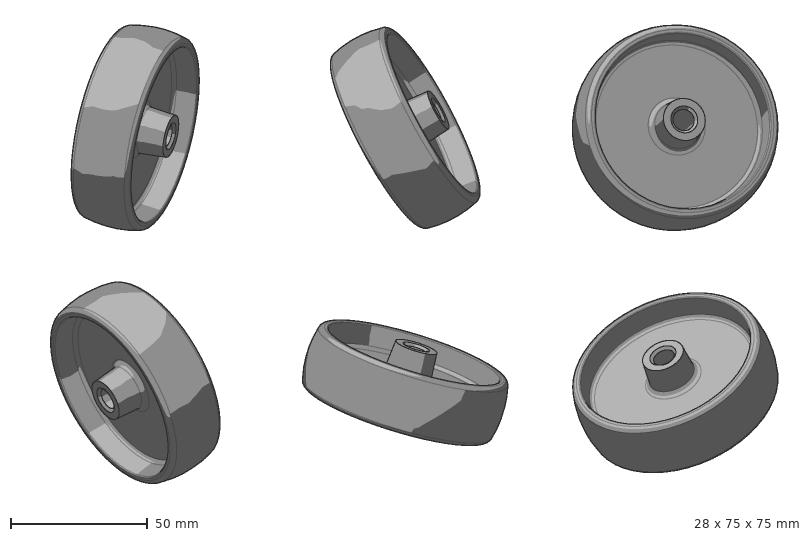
import cadquery as cq
import math

wheel_radius = 37.5
hub_length = 28.0
hub_half_length = hub_length / 2
rim_width = 22.95
rim_half_width = rim_width / 2
web_half_thickness = 2.25

crown_radius = 40.0
shoulder_radius = 2.0
rim_mouth_radius = 32.85
rim_root_radius = 31.8
rim_lip_fillet = 0.45
rim_root_fillet = 1.5

hub_end_radius = 7.9
hub_root_radius = 8.85
hub_root_fillet = 2.0

bore_radius = 4.0
bore_chamfer = 1.05

crown_center = wheel_radius - crown_radius
shoulder_center_x = rim_half_width - shoulder_radius
center_distance = crown_radius - shoulder_radius
tangent_angle = math.asin(shoulder_center_x / center_distance)
shoulder_center_r = crown_center + center_distance * math.cos(tangent_angle)
crown_edge_x = crown_radius * math.sin(tangent_angle)
crown_edge_r = crown_center + crown_radius * math.cos(tangent_angle)


def shoulder_midpoint(side):
    """Middle of the shoulder arc on the -X (-1) or +X (+1) side."""
    angle = (tangent_angle + math.pi / 2) / 2
    return (
        side * (shoulder_center_x + shoulder_radius * math.sin(angle)),
        shoulder_center_r + shoulder_radius * math.cos(angle),
    )


def revolve_about_axle(profile):
    return profile.close().revolve(360, (0, 0, 0), (1, 0, 0))


def make_tread_body():
    """Solid disc with crowned tread and rounded shoulders."""
    profile = (
        cq.Workplane("XY")
        .moveTo(-rim_half_width, 0)
        .lineTo(-rim_half_width, shoulder_center_r)
        .threePointArc(shoulder_midpoint(-1), (-crown_edge_x, crown_edge_r))
        .threePointArc((0, wheel_radius), (crown_edge_x, crown_edge_r))
        .threePointArc(shoulder_midpoint(1), (rim_half_width, shoulder_center_r))
        .lineTo(rim_half_width, 0)
    )
    return revolve_about_axle(profile)


def make_cone(start_x, start_radius, end_x, end_radius):
    """Solid truncated cone centred on the axle."""
    profile = (
        cq.Workplane("XY")
        .moveTo(start_x, 0)
        .lineTo(start_x, start_radius)
        .lineTo(end_x, end_radius)
        .lineTo(end_x, 0)
    )
    return revolve_about_axle(profile)


def circle_edges(body, x, radius):
    """Body with its circular edges of the given radius at position x selected."""
    tolerance = 0.01
    matches = [
        edge
        for edge in body.edges("%CIRCLE").vals()
        if abs(edge.Center().x - x) < tolerance and abs(edge.radius() - radius) < tolerance
    ]
    return body.newObject(matches)


wheel = make_tread_body()

for side in (-1, 1):
    web_x = side * web_half_thickness
    rim_x = side * rim_half_width
    wheel = wheel.cut(make_cone(web_x, rim_root_radius, rim_x, rim_mouth_radius))
for side in (-1, 1):
    web_x = side * web_half_thickness
    hub_x = side * hub_half_length
    wheel = wheel.union(make_cone(web_x, hub_root_radius, hub_x, hub_end_radius))

wheel = wheel.cut(make_cone(-hub_half_length, bore_radius, hub_half_length, bore_radius))

for side in (-1, 1):
    web_x = side * web_half_thickness
    rim_x = side * rim_half_width
    hub_x = side * hub_half_length
    blends = (
        (rim_x, rim_mouth_radius, rim_lip_fillet),
        (web_x, rim_root_radius, rim_root_fillet),
        (web_x, hub_root_radius, hub_root_fillet),
    )
    for x, edge_radius, blend_radius in blends:
        wheel = circle_edges(wheel, x, edge_radius).fillet(blend_radius)
    wheel = circle_edges(wheel, hub_x, bore_radius).chamfer(bore_chamfer)

result = wheel